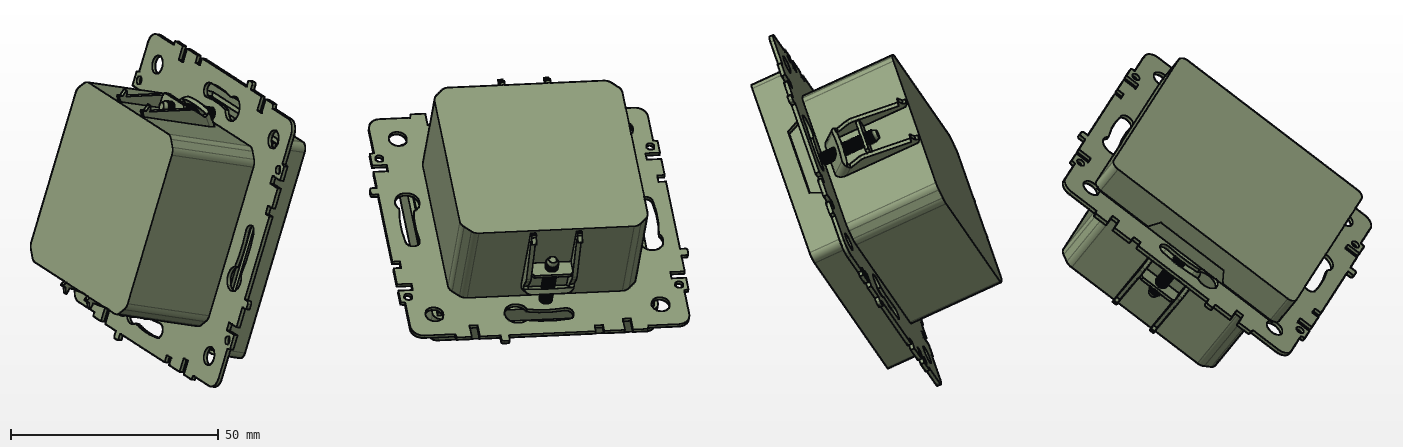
import cadquery as cq
import math


PLATE_HALF = 35.4
PLATE_THICKNESS = 1.0
CORNER_HALF = 34.3
CORNER_RADIUS = 3.0
STEP_INNER = 23.5
STEP_OUTER = 23.8
SLIT_CENTRE = 18.85
SLIT_WIDTH = 2.0
SLIT_DEPTH = 3.6
TAB_CENTRE = 11.7
TAB_WIDTH = 2.1
TAB_LENGTH = 1.8
TAB_ROUND = 0.6
NOTCH_DEPTH = 1.85
CORNER_HOLE_RADIUS = 2.2
CORNER_HOLE_CENTRE = 27.8
EAR_HOLE_RADIUS = 1.0
EAR_HOLE_CENTRE = (33.3, 21.9)

KEYHOLE_PATH_RADIUS = 29.75
KEYHOLE_SLOT_WIDTH = 3.6
KEYHOLE_HEAD_RADIUS = 3.0
KEYHOLE_HEAD_ANGLE = 15.0
KEYHOLE_END_ANGLE = 8.5

BOX_HALF = 23.1
BOX_HEIGHT = 24.05
BOX_CHAMFER = 3.0
BOX_FILLET = 2.5

REAR_HALF = 27.75
REAR_CORNER_RADIUS = 2.0
REAR_BACK = -10.0
REAR_FRONT = -2.0
NECK_HALF = 26.6
RECESS_DEPTH_END = -5.2
RECESS_HALF_WIDTH = 9.55
RECESS_MOUTH_HALF_WIDTH = 11.35

ARM_INNER = 5.1
ARM_OUTER = 6.2
WEB_FOOT = 1.5
WEB_ANGLE = 40.0
WEB_THICKNESS = 1.3
WEB_LENGTH = 5.6
WEB_SIDE_LENGTH = 4.7
WEB_CORNER_RADIUS = 1.85
ARM_PROFILE = [
    (BOX_HALF, WEB_FOOT),
    (26.75, 4.5),
    (25.9, 5.5),
    (25.3, 6.0),
    (26.55, 9.2),
    (26.6, 10.2),
    (24.6, 21.9),
    (26.0, 22.3),
    (26.2, 22.5),
    (24.6, 23.1),
    (24.5, 23.9),
    (24.05, 23.9),
    (BOX_HALF, 23.2),
]
NUT_TOP = 27.1
NUT_FRONT = 11.9
NUT_THICKNESS = 0.85
NUT_CORNER = 0.65

SCREW_Y = 24.8
SCREW_RADIUS = 1.6
SCREW_TIP_RADIUS = 1.0
SCREW_TIP_LENGTH = 0.7
SCREW_LENGTH = 14.85
THREAD_PITCH = 0.5
THREAD_DEPTH = 0.2

ROLL = -6.38
TILT = -22.15
YAW = -19.91


def block(x0, x1, y0, y1, z0, z1):
    return cq.Workplane("XY").box(x1 - x0, y1 - y0, z1 - z0, centered=False).translate((x0, y0, z0))


def plate_edge_cutters():
    """Material removed along the +Y edge of the plate."""
    depth = (-PLATE_THICKNESS, 0)
    cutters = block(
        -TAB_CENTRE - TAB_WIDTH / 2, -TAB_CENTRE + TAB_WIDTH / 2,
        PLATE_HALF - NOTCH_DEPTH, PLATE_HALF, *depth,
    )
    for side in (-1, 1):
        slit = block(
            side * SLIT_CENTRE - SLIT_WIDTH / 2, side * SLIT_CENTRE + SLIT_WIDTH / 2,
            PLATE_HALF - SLIT_DEPTH, PLATE_HALF, *depth,
        )
        step = (
            cq.Workplane("XY")
            .polyline([
                (side * STEP_INNER, PLATE_HALF),
                (side * STEP_OUTER, CORNER_HALF),
                (side * PLATE_HALF, CORNER_HALF),
                (side * PLATE_HALF, PLATE_HALF),
            ])
            .close()
            .extrude(-PLATE_THICKNESS)
        )
        cutters = cutters.union(slit).union(step)
    return cutters


def plate_tab():
    """Tab standing out of the +Y edge of the plate."""
    return (
        block(
            TAB_CENTRE - TAB_WIDTH / 2, TAB_CENTRE + TAB_WIDTH / 2,
            PLATE_HALF - NOTCH_DEPTH, PLATE_HALF + TAB_LENGTH, -PLATE_THICKNESS, 0,
        )
        .edges("|Z and >Y")
        .fillet(TAB_ROUND)
    )


def keyhole():
    """Keyhole near the +Y edge: a wide head at one end of a curved slot."""

    def on_path(angle, radius):
        return (radius * math.sin(math.radians(angle)), radius * math.cos(math.radians(angle)))

    half = KEYHOLE_SLOT_WIDTH / 2
    outer = KEYHOLE_PATH_RADIUS + half
    inner = KEYHOLE_PATH_RADIUS - half
    middle_angle = (KEYHOLE_HEAD_ANGLE - KEYHOLE_END_ANGLE) / 2
    slot = (
        cq.Workplane("XY")
        .moveTo(*on_path(-KEYHOLE_END_ANGLE, outer))
        .threePointArc(on_path(middle_angle, outer), on_path(KEYHOLE_HEAD_ANGLE, outer))
        .lineTo(*on_path(KEYHOLE_HEAD_ANGLE, inner))
        .threePointArc(on_path(middle_angle, inner), on_path(-KEYHOLE_END_ANGLE, inner))
        .close()
        .extrude(-PLATE_THICKNESS)
    )
    round_end = (
        cq.Workplane("XY")
        .pushPoints([on_path(-KEYHOLE_END_ANGLE, KEYHOLE_PATH_RADIUS)])
        .circle(half)
        .extrude(-PLATE_THICKNESS)
    )
    head = (
        cq.Workplane("XY")
        .pushPoints([on_path(KEYHOLE_HEAD_ANGLE, KEYHOLE_PATH_RADIUS)])
        .circle(KEYHOLE_HEAD_RADIUS)
        .extrude(-PLATE_THICKNESS)
    )
    return slot.union(round_end).union(head)


def four_holes(x, y, radius):
    """Cutters for four holes through the plate, mirrored about both of its centre lines."""
    return (
        cq.Workplane("XY")
        .rect(2 * x, 2 * y, forConstruction=True)
        .vertices()
        .circle(radius)
        .extrude(-PLATE_THICKNESS)
    )


def mounting_plate():
    plate = cq.Workplane("XY").rect(2 * PLATE_HALF, 2 * PLATE_HALF).extrude(-PLATE_THICKNESS)
    cutters = plate_edge_cutters().union(keyhole())
    for quarter in range(4):
        plate = plate.cut(cutters.rotate((0, 0, 0), (0, 0, 1), 90 * quarter))
    for quarter in range(4):
        plate = plate.union(plate_tab().rotate((0, 0, 0), (0, 0, 1), 90 * quarter))
    plate = plate.cut(four_holes(CORNER_HOLE_CENTRE, CORNER_HOLE_CENTRE, CORNER_HOLE_RADIUS))
    plate = plate.cut(four_holes(*EAR_HOLE_CENTRE, EAR_HOLE_RADIUS))
    for x in (-CORNER_HALF, CORNER_HALF):
        for y in (-CORNER_HALF, CORNER_HALF):
            corner = cq.selectors.NearestToPointSelector((x, y, -PLATE_THICKNESS / 2))
            plate = plate.edges("|Z").edges(corner).fillet(CORNER_RADIUS)
    return plate


def front_box():
    return (
        cq.Workplane("XY")
        .rect(2 * BOX_HALF, 2 * BOX_HALF)
        .extrude(BOX_HEIGHT)
        .edges("|Z")
        .chamfer(BOX_CHAMFER)
        .edges("|Z")
        .fillet(BOX_FILLET)
    )


def rear_body():
    body = (
        cq.Workplane("XY", origin=(0, 0, REAR_BACK))
        .rect(2 * REAR_HALF, 2 * REAR_HALF)
        .extrude(REAR_FRONT - REAR_BACK)
        .edges("|Z")
        .fillet(REAR_CORNER_RADIUS)
    )
    recess = (
        cq.Workplane("XZ")
        .polyline([
            (-RECESS_MOUTH_HALF_WIDTH, REAR_FRONT),
            (-RECESS_HALF_WIDTH, RECESS_DEPTH_END),
            (RECESS_HALF_WIDTH, RECESS_DEPTH_END),
            (RECESS_MOUTH_HALF_WIDTH, REAR_FRONT),
        ])
        .close()
        .extrude(REAR_HALF, both=True)
    )
    kept = block(-REAR_HALF, REAR_HALF, -NECK_HALF, NECK_HALF, REAR_BACK, REAR_FRONT)
    neck = block(-NECK_HALF, NECK_HALF, -NECK_HALF, NECK_HALF, REAR_FRONT, -PLATE_THICKNESS)
    return body.cut(recess.cut(kept)).union(neck)


def claw_bracket():
    """Two barbed arms joined by a leaning sheet with an arched top edge and rounded bends."""
    arm = cq.Workplane("YZ", origin=(ARM_INNER, 0, 0)).polyline(ARM_PROFILE).close()
    arm = arm.extrude(ARM_OUTER - ARM_INNER)
    lean = math.radians(WEB_ANGLE)
    back_of_sheet = cq.Plane(
        origin=(0, BOX_HALF, WEB_FOOT),
        xDir=(1, 0, 0),
        normal=(0, -math.sin(lean), math.cos(lean)),
    )
    web = (
        cq.Workplane(back_of_sheet)
        .moveTo(-ARM_OUTER, -WEB_LENGTH)
        .lineTo(ARM_OUTER, -WEB_LENGTH)
        .lineTo(ARM_OUTER, WEB_SIDE_LENGTH)
        .threePointArc((0, WEB_LENGTH), (-ARM_OUTER, WEB_SIDE_LENGTH))
        .close()
        .extrude(WEB_THICKNESS)
    )
    rounded_bar = (
        cq.Workplane("XY")
        .rect(2 * ARM_OUTER, 4 * PLATE_HALF)
        .extrude(PLATE_HALF)
        .edges("|Y and <Z")
        .fillet(WEB_CORNER_RADIUS)
        .val()
        .moved(back_of_sheet.location)
    )
    above_box = block(-ARM_OUTER, ARM_OUTER, BOX_HALF, PLATE_HALF, 0, BOX_HEIGHT)
    bracket = web.union(arm).union(arm.mirror("YZ"))
    return bracket.intersect(cq.Workplane(rounded_bar)).intersect(above_box)


def claw_screw():
    """Threaded rod along Z with a tapered tip, its thread made of rings."""
    root = SCREW_RADIUS - THREAD_DEPTH
    ring_count = int((SCREW_LENGTH - SCREW_TIP_LENGTH) / THREAD_PITCH)
    points = [(0, 0), (root, 0)]
    for ring in range(ring_count):
        z = ring * THREAD_PITCH
        points.append((SCREW_RADIUS, z + THREAD_PITCH / 2))
        points.append((root, z + THREAD_PITCH))
    points += [(SCREW_TIP_RADIUS, SCREW_LENGTH), (0, SCREW_LENGTH)]
    rod = cq.Workplane("XZ").polyline(points).close().revolve(360, (0, 0, 0), (0, 1, 0))
    return rod.translate((0, SCREW_Y, 0))


def claw():
    nut = (
        block(-ARM_INNER, ARM_INNER, BOX_HALF, NUT_TOP, NUT_FRONT - NUT_THICKNESS, NUT_FRONT)
        .edges("|Z and >Y")
        .chamfer(NUT_CORNER)
    )
    return claw_bracket().union(nut).union(claw_screw())


part = mounting_plate().union(front_box()).union(rear_body())
for side_angle in (0, 180):
    part = part.union(claw().rotate((0, 0, 0), (0, 0, 1), side_angle))

result = (
    part.rotate((0, 0, 0), (1, 0, 0), 90)
    .rotate((0, 0, 0), (0, 1, 0), ROLL)
    .rotate((0, 0, 0), (1, 0, 0), TILT)
    .rotate((0, 0, 0), (0, 0, 1), YAW)
)